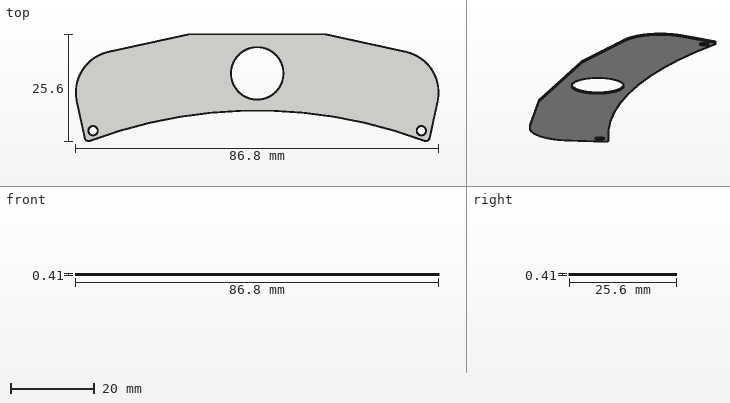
import cadquery as cq
import math

length = 86.79
depth = 25.6
thickness = 0.41

flat_half_length = 16.2
slope_angle = 12.3
shoulder_radius = 10.0

web_depth = 18.3
inner_radius = 113.8
toe_radius = 1.0

window_diameter = 12.5
window_offset = 9.4
pin_hole_diameter = 2.2
pin_hole_half_spacing = 39.25
pin_hole_offset = 23.1

top_y = window_offset
slope = math.radians(slope_angle)
half_length = length / 2


def shoulder_corner():
    """Sharp corner of the slope and the side, which meet at a right angle.

    The shoulder round, tangent to both, reaches x = half_length.
    """
    centre_x = half_length - shoulder_radius
    reach = shoulder_radius * (math.cos(slope) + math.sin(slope))
    x = centre_x + reach
    y = top_y - (x - flat_half_length) * math.tan(slope)
    return x, y


def toe_corner(corner):
    """Sharp corner where the side line meets the inner arc."""
    x, y = corner
    centre_y = top_y - web_depth - inner_radius
    down_x = -math.sin(slope)
    down_y = -math.cos(slope)
    along = x * down_x + (y - centre_y) * down_y
    gap = x ** 2 + (y - centre_y) ** 2 - inner_radius ** 2
    distance = -along - math.sqrt(along ** 2 - gap)
    return x + distance * down_x, y + distance * down_y


def plate():
    shoulder_x, shoulder_y = shoulder_corner()
    toe_x, toe_y = toe_corner((shoulder_x, shoulder_y))
    blank = (
        cq.Workplane("XY")
        .moveTo(-flat_half_length, top_y)
        .lineTo(flat_half_length, top_y)
        .lineTo(shoulder_x, shoulder_y)
        .lineTo(toe_x, toe_y)
        .threePointArc((0, top_y - web_depth), (-toe_x, toe_y))
        .lineTo(-shoulder_x, shoulder_y)
        .close()
        .extrude(thickness)
    )
    for x, y, radius in (
        (shoulder_x, shoulder_y, shoulder_radius),
        (toe_x, toe_y, toe_radius),
    ):
        for side in (-1, 1):
            corner_edge = cq.selectors.NearestToPointSelector((side * x, y, thickness / 2))
            blank = blank.edges("|Z").edges(corner_edge).fillet(radius)
    return blank


def hole(x, y, diameter):
    return cq.Workplane("XY").center(x, y).circle(diameter / 2).extrude(thickness)


result = plate().cut(hole(0, top_y - window_offset, window_diameter))
for side in (-1, 1):
    pin_hole = hole(side * pin_hole_half_spacing, top_y - pin_hole_offset, pin_hole_diameter)
    result = result.cut(pin_hole)